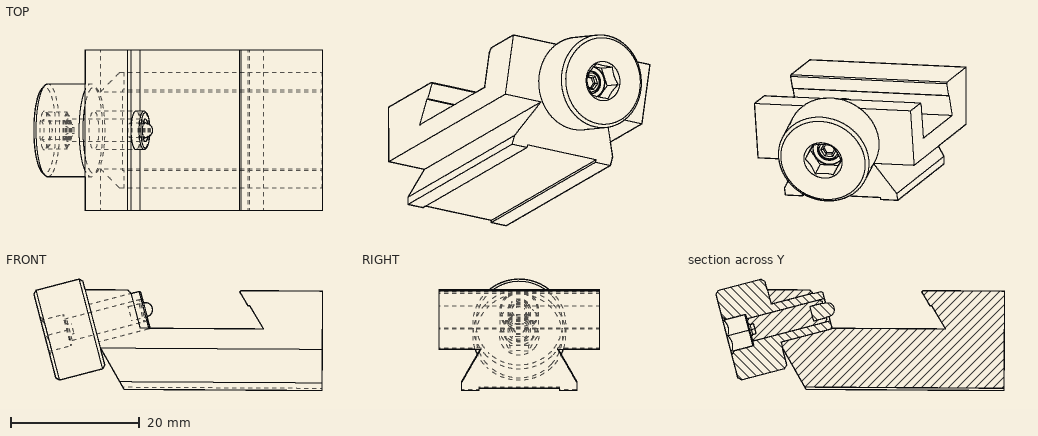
import cadquery as cq
import math

tip_angle = 0.35

mount_width = 25.0
mount_height = 15.5
shoulder_height = 6.45
shoulder_x = -34.5
slot_floor_height = 9.57
screw_angle = 15
flank_angle = 30

slot_left_x = -28.35
left_wall_bevel = 0.55
slot_right_x = -9.2
right_wall_angle = 31
wall_step_height = 13.13
wall_step = 0.25
lip_bevel = 0.22

foot_width = 18
foot_edge_height = 1.2
channel_width = 12.5
channel_depth = 0.35

seat_height = 10.3
knob_radius = 7.25
knob_length = 7.9
knob_chamfer = 0.5
shank_radius = 3.0
shank_length = 8.25
shank_chamfer = 0.22

socket_flats = 5.0
socket_depth = 3.55
socket_mouth_radius = 3.05
floor_recess_radius = 2.43
floor_recess_depth = 0.15

plunger_radius = 1.75
plunger_setback = 0.45
plunger_chamfer = 0.25
key_flats = 1.57
key_chamfer = 0.25
key_depth = 0.8
pin_radius = 1.12
pin_projection = 1.12
pin_length = 3.6

corner_ratio = 1 / math.cos(math.pi / 6)
screw_slope = math.tan(math.radians(screw_angle))
flank_slope = math.tan(math.radians(flank_angle))
right_wall_slope = math.tan(math.radians(right_wall_angle))
seat_x = shoulder_x - (seat_height - shoulder_height) * screw_slope
axis_direction = (math.cos(math.radians(screw_angle)), 0, math.sin(math.radians(screw_angle)))
plunger_start = socket_depth + floor_recess_depth - knob_length
plunger_end = shank_length - plunger_setback
pin_start = shank_length + pin_projection - pin_length


def axis_plane(distance):
    """Workplane square to the screw axis, at a distance past the knob's seat."""
    origin = (
        seat_x + distance * axis_direction[0],
        0,
        seat_height + distance * axis_direction[2],
    )
    return cq.Workplane(cq.Plane(origin=origin, xDir=(0, 1, 0), normal=axis_direction))


def axis_cylinder(start, end, radius):
    return axis_plane(start).circle(radius).extrude(end - start)


def hex_prism(start, end, flats):
    return axis_plane(start).polygon(6, flats * corner_ratio).extrude(end - start)


def hex_countersink(start, flats, chamfer):
    """Hexagonal 45 degree lead-in that narrows to the given width across flats."""
    mouth = axis_plane(start).polygon(6, (flats + 2 * chamfer) * corner_ratio)
    return mouth.workplane(offset=chamfer).polygon(6, flats * corner_ratio).loft()


def socket_countersink(start, mouth_radius, flats):
    """45 degree cone that breaks the corners of a hexagon socket."""
    depth = mouth_radius - flats / 2
    return axis_plane(start).circle(mouth_radius).workplane(offset=depth).circle(flats / 2).loft()


def make_block():
    """Clamp block with an undercut slot across its top."""
    left_top_x = shoulder_x - (mount_height - shoulder_height) * screw_slope
    left_bevel_z = mount_height - left_wall_bevel
    left_bevel_x = slot_left_x - (left_bevel_z - slot_floor_height) * screw_slope
    lower_step_x = slot_right_x - (wall_step_height - slot_floor_height) * right_wall_slope
    upper_step_x = lower_step_x - wall_step
    lip_z = mount_height - lip_bevel
    lip_x = upper_step_x - (lip_z - wall_step_height) * right_wall_slope
    outline = [
        (0, shoulder_height),
        (0, mount_height),
        (lip_x + lip_bevel, mount_height),
        (lip_x, lip_z),
        (upper_step_x, wall_step_height),
        (lower_step_x, wall_step_height),
        (slot_right_x, slot_floor_height),
        (slot_left_x, slot_floor_height),
        (left_bevel_x, left_bevel_z),
        (left_bevel_x - left_wall_bevel, mount_height),
        (left_top_x, mount_height),
        (shoulder_x, shoulder_height),
    ]
    return cq.Workplane("XZ").polyline(outline).close().extrude(mount_width / 2, both=True)


def make_foot():
    """Dovetail foot with a shallow channel below and a sloping left end."""
    half_foot = foot_width / 2
    half_neck = half_foot - (shoulder_height - foot_edge_height) * flank_slope
    half_channel = channel_width / 2
    section = [
        (half_channel, channel_depth),
        (half_channel, 0),
        (half_foot, 0),
        (half_foot, foot_edge_height),
        (half_neck, shoulder_height),
        (-half_neck, shoulder_height),
        (-half_foot, foot_edge_height),
        (-half_foot, 0),
        (-half_channel, 0),
        (-half_channel, channel_depth),
    ]
    side = [
        (0, 0),
        (0, shoulder_height),
        (shoulder_x, shoulder_height),
        (shoulder_x + shoulder_height * flank_slope, 0),
    ]
    rail = cq.Workplane("YZ").polyline(section).close().extrude(shoulder_x)
    end_trim = cq.Workplane("XZ").polyline(side).close().extrude(foot_width, both=True)
    return rail.intersect(end_trim)


def make_mount():
    screw_hole = axis_cylinder(0, shank_length, shank_radius)
    return make_block().union(make_foot()).cut(screw_hole)


def make_clamp_screw():
    knob = axis_cylinder(-knob_length, 0, knob_radius).edges().chamfer(knob_chamfer)
    shank = axis_cylinder(-knob_chamfer, shank_length, shank_radius)
    shank = shank.faces(cq.selectors.DirectionMinMaxSelector(cq.Vector(*axis_direction), True))
    shank = shank.edges().chamfer(shank_chamfer)
    socket_floor = socket_depth - knob_length
    socket = hex_prism(-knob_length, socket_floor, socket_flats)
    socket_mouth = socket_countersink(-knob_length, socket_mouth_radius, socket_flats)
    floor_recess = axis_cylinder(socket_floor, plunger_start, floor_recess_radius)
    bore = axis_cylinder(socket_floor, shank_length, plunger_radius)
    return knob.union(shank).cut(socket).cut(socket_mouth).cut(floor_recess).cut(bore)


def make_plunger_pin():
    pin_end = shank_length + pin_projection
    pin = axis_cylinder(pin_start, pin_end - pin_radius, pin_radius)
    nose = axis_plane(pin_end - pin_radius).sphere(pin_radius)
    return pin.union(nose)


def make_plunger_body():
    body = axis_cylinder(plunger_start, plunger_end, plunger_radius).edges().chamfer(plunger_chamfer)
    key_socket = hex_prism(plunger_start, plunger_start + key_depth, key_flats)
    key_mouth = hex_countersink(plunger_start, key_flats, key_chamfer)
    pin_pocket = axis_cylinder(pin_start, plunger_end, pin_radius)
    return body.cut(key_socket).cut(key_mouth).cut(pin_pocket)


def tipped(body):
    return body.rotate((0, 0, 0), (0, 1, 0), tip_angle)


mount = tipped(make_mount())
clamp_screw = tipped(make_clamp_screw())
plunger_body = tipped(make_plunger_body())
plunger_pin = tipped(make_plunger_pin())

result = cq.Compound.makeCompound(
    [mount.val(), clamp_screw.val(), plunger_body.val(), plunger_pin.val()]
)